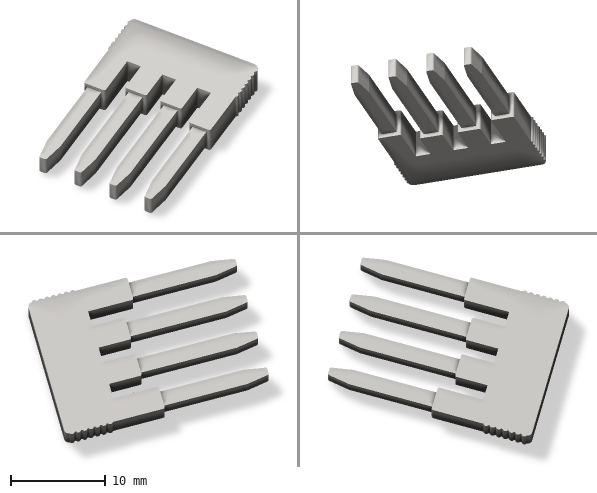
import cadquery as cq

total_length = 22.7
total_width = 15.6
body_thickness = 3.0

pin_count = 4
pin_pitch = 4.22
leg_width = 2.59
plate_length = 6.0
outer_leg_end = 11.0
inner_leg_end = 9.6
leg_corner_radius = 0.2
body_width = (pin_count - 1) * pin_pitch + leg_width

ridge_count = 7
ridge_pitch = 0.7
ridge_length = 0.55
ridge_height = (total_width - body_width) / 2
back_corner_radius = 0.48
first_ridge_start = back_corner_radius

pin_width = 1.65
pin_thickness = 2.1
taper_length = 2.5
tip_width = 0.82
tip_corner_radius = 0.2


def make_plate():
    plate = cq.Workplane("XY").box(body_width, plate_length, body_thickness)
    plate = plate.translate((0, -plate_length / 2, 0))
    return plate.edges("|Z and >Y").fillet(back_corner_radius)


def make_leg(x, leg_end):
    """Leg running from the front of the plate to leg_end."""
    length = leg_end - plate_length
    leg = cq.Workplane("XY").box(leg_width, length, body_thickness)
    leg = leg.edges("|Z and <Y").fillet(leg_corner_radius)
    return leg.translate((x, -plate_length - length / 2, 0))


def make_pin(x, leg_end):
    """Flat pin starting at the leg end, with a tapered, rounded tip."""
    half_width = pin_width / 2
    half_tip = tip_width / 2
    taper_y = taper_length - total_length
    pin = (
        cq.Workplane("XY")
        .moveTo(x - half_width, -leg_end)
        .lineTo(x - half_width, taper_y)
        .lineTo(x - half_tip, -total_length)
        .lineTo(x + half_tip, -total_length)
        .lineTo(x + half_width, taper_y)
        .lineTo(x + half_width, -leg_end)
        .close()
        .extrude(pin_thickness / 2, both=True)
    )
    return pin.faces("<Y").edges("|Z").fillet(tip_corner_radius)


def make_ridge(side, start):
    """Rounded ridge on the side face; side is -1 for -X and +1 for +X."""
    face_x = side * body_width / 2
    crest_x = face_x + side * ridge_height
    return (
        cq.Workplane("XY")
        .moveTo(face_x, -start)
        .threePointArc((crest_x, -start - ridge_length / 2), (face_x, -start - ridge_length))
        .lineTo(face_x - side * ridge_height, -start - ridge_length)
        .lineTo(face_x - side * ridge_height, -start)
        .close()
        .extrude(body_thickness / 2, both=True)
    )


result = make_plate()

for index in range(pin_count):
    pin_x = (index - (pin_count - 1) / 2) * pin_pitch
    is_outer = index in (0, pin_count - 1)
    leg_end = outer_leg_end if is_outer else inner_leg_end
    result = result.union(make_leg(pin_x, leg_end))
    result = result.union(make_pin(pin_x, leg_end))

for side in (-1, 1):
    for index in range(ridge_count):
        ridge_start = first_ridge_start + index * ridge_pitch
        result = result.union(make_ridge(side, ridge_start))

result = result.clean()